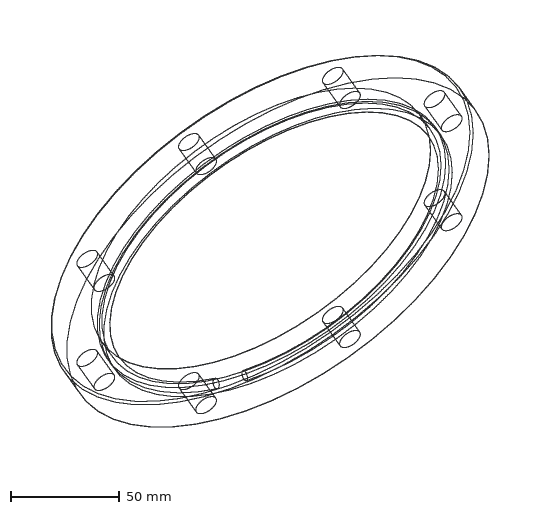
import cadquery as cq

outer_diameter = 225.0
bore_diameter = 180.7
thickness = 16.0
chamfer = 1.1

hole_count = 8
hole_diameter = 11.0
bolt_circle_diameter = 200.2
first_hole_angle = 180 / hole_count

step_diameter = 185.6
wire_radius = (step_diameter - bore_diameter) / 2
wire_center_radius = bore_diameter / 2
step_depth = 6.0
wire_x = thickness - step_depth + wire_radius

gap_angle = 10.0
gap_center_angle = 255.0


def wire_sweep(start_angle, sweep_angle):
    """Round wire bent about the X axis, starting at an angle from +Y toward +Z."""
    wire = (
        cq.Workplane("XY")
        .center(wire_x, wire_center_radius)
        .circle(wire_radius)
        .revolve(sweep_angle, (-wire_x, -wire_center_radius), (2.2 - wire_x, -wire_center_radius))
    )
    return wire.rotate((0, 0, 0), (1, 0, 0), start_angle)


def make_flange():
    """Flat ring with a chamfered front rim, bolt holes and a step at the back of its bore."""
    disc = cq.Workplane("YZ").circle(outer_diameter / 2).extrude(thickness)
    disc = disc.faces("<X").edges().chamfer(chamfer)
    bore = cq.Workplane("YZ").circle(bore_diameter / 2).extrude(thickness)
    step = (
        cq.Workplane("YZ")
        .workplane(offset=thickness - step_depth)
        .circle(step_diameter / 2)
        .extrude(step_depth)
    )
    holes = (
        cq.Workplane("YZ")
        .polarArray(bolt_circle_diameter / 2, first_hole_angle, 360, hole_count)
        .circle(hole_diameter / 2)
        .extrude(thickness)
    )
    return disc.cut(bore).cut(step).cut(holes)


def make_snap_ring():
    """Open wire ring with flat radial ends."""
    return wire_sweep(gap_center_angle + gap_angle / 2, 360 - gap_angle)


flange = make_flange()
snap_ring = make_snap_ring()

result = cq.Compound.makeCompound([flange.val(), snap_ring.val()])